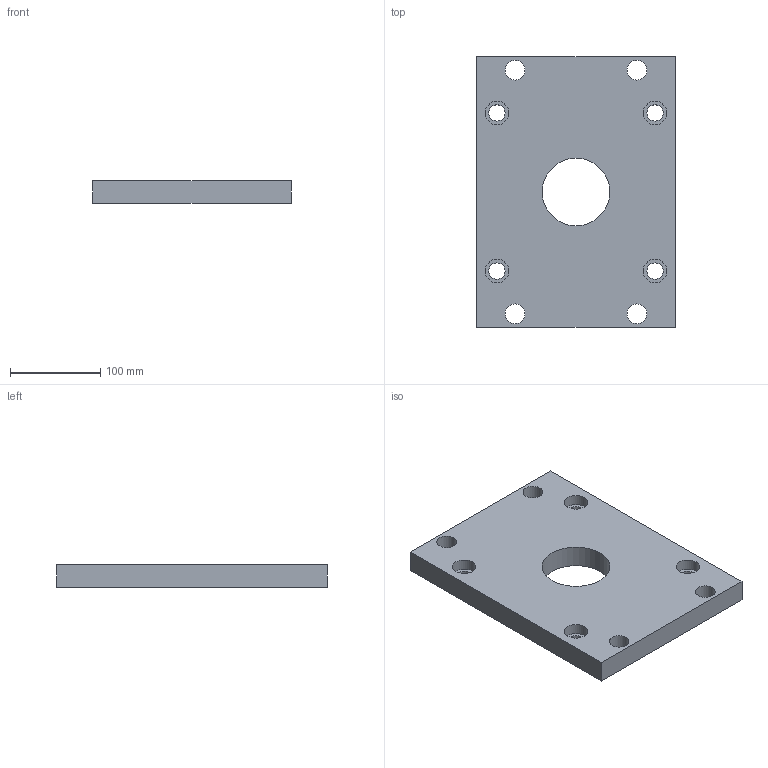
import cadquery as cq

plate_width = 220.0
plate_length = 300.0
plate_thickness = 25.0

bore_diameter = 75.0

end_hole_diameter = 22.0
end_hole_spacing_x = 135.0
end_hole_spacing_y = 270.0

screw_hole_diameter = 18.0
screw_spacing = 175.0
counterbore_diameter = 26.0
counterbore_depth = plate_thickness / 2


def make_plate():
    """Rectangular plate centred in X and Y, resting on Z = 0."""
    return cq.Workplane("XY").box(
        plate_width, plate_length, plate_thickness, centered=(True, True, False)
    )


def cut_bore(body):
    """Central bore through the plate."""
    return body.faces(">Z").workplane(origin=(0, 0, 0)).hole(bore_diameter)


def cut_end_holes(body):
    """Four plain through holes in a rectangular pattern."""
    return (
        body.faces(">Z")
        .workplane(origin=(0, 0, 0))
        .rarray(end_hole_spacing_x, end_hole_spacing_y, 2, 2)
        .hole(end_hole_diameter)
    )


def cut_screw_holes(body):
    """Four counterbored through holes in a square pattern."""
    return (
        body.faces(">Z")
        .workplane(origin=(0, 0, 0))
        .rarray(screw_spacing, screw_spacing, 2, 2)
        .cboreHole(screw_hole_diameter, counterbore_diameter, counterbore_depth)
    )


result = cut_screw_holes(cut_end_holes(cut_bore(make_plate())))